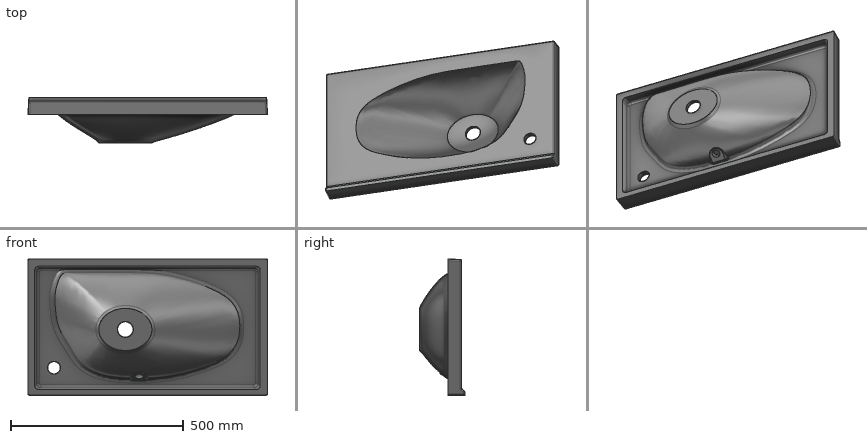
import cadquery as cq
import math


WIDTH = 695.09
LENGTH = 395.8
DECK_TOP = 40.0
DECK_THICKNESS = 16.0
DECK_BOTTOM = DECK_TOP - DECK_THICKNESS
DRAFT = 3.0
CORNER_RADIUS = 5.0
TOP_EDGE_RADIUS = 4.0

MARGIN = 1.0

UPSTAND_HEIGHT = 10.0
UPSTAND_DEPTH = 10.0
UPSTAND_FOOT = 20.0

RIM_LEFT = 19.6
RIM_RIGHT = 21.4
RIM_FRONT = 21.4
RIM_WALL = 16.8
POCKET_CORNER_RADIUS = 12.0
POCKET_FLOOR_RADIUS = 9.0
POCKET_SIDE_TAPER = 7.0
POCKET_END_TAPER = 5.5

BOWL_OUTLINE = [
    (-236, 356), (-150, 356), (-50, 356), (30, 352), (129, 330), (205, 299), (238, 276), (258, 248),
    (267, 202), (255, 145), (225, 112), (183, 91), (92, 63), (0, 51), (-51, 51), (-130, 61),
    (-191, 92), (-230, 146), (-257, 195), (-268, 252), (-269, 289), (-263, 322),
]
BOWL_BOTTOM = -82.0
FLARE_RADIUS = 14.0
FLARE_SHIFT_X = -2.0
FLARE_SHIFT_Z = -2.0
FLARE_STEPS = 3
BOWL_STEPS = 6
BOWL_POWER_X = 1.25
BOWL_POWER_Z = 1.6
WALL = 12.0
FLOOR = 10.0

SEAT_X = -65.0
SEAT_Z = 191.0
SEAT_HALF_X = 77.0
SEAT_HALF_Z = 61.0
SEAT_BEVEL = 8.5
SEAT_BEVEL_HEIGHT = 6.5
SEAT_TILT_X = -0.03
SEAT_TILT_Z = -0.04
DRAIN_DIAMETER = 45.0

TAP_X = -272.0
TAP_Z = 80.0
TAP_DIAMETER = 36.0

OVERFLOW_X = -25.0
OVERFLOW_Y = -10.0
OVERFLOW_Z = 55.0
OVERFLOW_DIAMETER = 23.0
OVERFLOW_TILT = 56.0
OVERFLOW_DRILL = 40.0
PAD_HALF_WIDTH = 20.0
PAD_ARCH_DROP = 5.0
PAD_TAIL = 24.0
PAD_HEIGHT = 12.0
PAD_DRAFT = 40.0


def plane_at(y):
    """XZ plane at height y, with local axes along +X and +Z."""
    return cq.Workplane("XZ", origin=(0, y, 0))


def lofted(wires, ruled=False):
    """Solid through closed wires, straight between them when ruled."""
    return cq.Workplane(cq.Solid.makeLoft(wires, ruled))


def drilled(x, z, diameter):
    """Cylinder along Y through the whole part."""
    top = DECK_TOP + UPSTAND_HEIGHT
    return plane_at(top).center(x, z).circle(diameter / 2).extrude(top - BOWL_BOTTOM)


def within(low, high):
    """Selector for the edges centred between two Y, Z corners, over the whole width."""
    return cq.selectors.BoxSelector((-WIDTH, *low), (WIDTH, *high))


def near(y, z):
    """Selector for the edges centred close to the given Y and Z."""
    return within((y - MARGIN, z - MARGIN), (y + MARGIN, z + MARGIN))


def make_tray():
    """Drafted slab with the upstand and rounded outer edges."""
    top = DECK_TOP + UPSTAND_HEIGHT
    slope = math.tan(math.radians(DRAFT))
    profile = (
        cq.Workplane("YZ", origin=(-WIDTH / 2, 0, 0))
        .polyline([
            (0, 0), (top, 0), (top, UPSTAND_DEPTH), (DECK_TOP, UPSTAND_FOOT),
            (DECK_TOP, LENGTH - DECK_TOP * slope), (0, LENGTH),
        ])
        .close()
        .extrude(WIDTH)
    )
    half = WIDTH / 2
    half_top = half - top * slope
    sides = (
        cq.Workplane("XY")
        .polyline([(-half, 0), (half, 0), (half_top, top), (-half_top, top)])
        .close()
        .extrude(LENGTH)
    )
    tray = profile.intersect(sides)
    front_corners = near(DECK_TOP / 2, LENGTH - DECK_TOP * slope / 2)
    tray = tray.edges(front_corners).fillet(CORNER_RADIUS)

    foot_line = near(DECK_TOP, UPSTAND_FOOT)
    crest_line = near(top, UPSTAND_DEPTH)
    top_edges = within((DECK_TOP - MARGIN, MARGIN), (top + MARGIN, LENGTH)) - foot_line - crest_line
    tray = tray.edges(top_edges).fillet(TOP_EDGE_RADIUS)

    rounded_sides = sides.edges(near(top / 2, 0)).fillet(CORNER_RADIUS)
    return tray.intersect(rounded_sides)


def make_pocket():
    """Tapered recess in the underside, rounded in its corners and round its floor."""
    left = RIM_LEFT - WIDTH / 2
    right = WIDTH / 2 - RIM_RIGHT
    width = right - left
    length = LENGTH - RIM_WALL - RIM_FRONT
    centre_x = (left + right) / 2
    centre_z = RIM_WALL + length / 2

    def section(y, inset_x, inset_z):
        return (
            plane_at(y)
            .center(centre_x, centre_z)
            .rect(width - 2 * inset_x, length - 2 * inset_z)
            .extrude(-MARGIN)
            .edges("|Y")
            .fillet(POCKET_CORNER_RADIUS)
            .faces("<Y")
            .wires()
            .val()
        )

    sections = [section(0, 0, 0), section(DECK_BOTTOM, POCKET_SIDE_TAPER, POCKET_END_TAPER)]
    return lofted(sections, ruled=True).faces(">Y").edges().fillet(POCKET_FLOOR_RADIUS)


def offset_outline(points, distance):
    """Move every point outward, square to the chord between its neighbours."""
    moved = []
    for i, (x, z) in enumerate(points):
        before = points[i - 1]
        after = points[(i + 1) % len(points)]
        dx = after[0] - before[0]
        dz = after[1] - before[1]
        chord = math.hypot(dx, dz)
        moved.append((x - dz / chord * distance, z + dx / chord * distance))
    return moved


def seat_outline(points, half_x, half_z):
    """Points of the seat ellipse lying in the same directions as the outline points."""
    ellipse = []
    for x, z in points:
        angle = math.atan2((z - SEAT_Z) / half_z, (x - SEAT_X) / half_x)
        ellipse.append((SEAT_X + half_x * math.cos(angle), SEAT_Z + half_z * math.sin(angle)))
    return ellipse


def ring(points, y, tilt=0.0):
    """Smooth closed wire through the points at height y, tilted by a share of the seat's tilt."""
    vectors = []
    for x, z in points:
        rise = SEAT_TILT_X * (x - SEAT_X) + SEAT_TILT_Z * (z - SEAT_Z)
        vectors.append(cq.Vector(x, y + tilt * rise, z))
    return cq.Wire.assembleEdges([cq.Edge.makeSpline(vectors, periodic=True)])


def bowl_rings(outline, half_x, half_z, top, bottom, tilt):
    """Rings closing in from the outline to the seat ellipse along a rounded profile.

    The tilt is a share of the seat's tilt, reached at the bottom ring; the top ring is level.
    """
    seat = seat_outline(outline, half_x, half_z)
    rings = []
    for step in range(BOWL_STEPS + 1):
        depth = step / BOWL_STEPS
        weight_x = 1 - depth ** BOWL_POWER_X
        weight_z = 1 - depth ** BOWL_POWER_Z
        points = [
            (sx + (x - sx) * weight_x, sz + (z - sz) * weight_z)
            for (x, z), (sx, sz) in zip(outline, seat)
        ]
        rings.append(ring(points, top + (bottom - top) * depth, tilt * depth ** 2))
    return rings


def make_bowl():
    """Outer bowl: flare under the deck, rounded body and bevelled drain seat."""
    flare = []
    for step in range(FLARE_STEPS + 1):
        angle = math.radians(90 * step / FLARE_STEPS)
        spread = 1 - math.sin(angle)
        y = DECK_BOTTOM - FLARE_RADIUS * (1 - math.cos(angle))
        outline = [
            (x + FLARE_SHIFT_X * spread, z + FLARE_SHIFT_Z * spread)
            for x, z in offset_outline(BOWL_OUTLINE, FLARE_RADIUS * spread)
        ]
        flare.append(ring(outline, y))
    half_x = SEAT_HALF_X + SEAT_BEVEL
    half_z = SEAT_HALF_Z + SEAT_BEVEL
    seat_top = BOWL_BOTTOM + SEAT_BEVEL_HEIGHT
    body_top = DECK_BOTTOM - FLARE_RADIUS
    body = bowl_rings(BOWL_OUTLINE, half_x, half_z, body_top, seat_top, tilt=1.0)
    seat_face = seat_outline(BOWL_OUTLINE, SEAT_HALF_X, SEAT_HALF_Z)
    seat = [body[-1], ring(seat_face, BOWL_BOTTOM)]
    return lofted(flare).union(lofted(body)).union(lofted(seat, ruled=True))


def make_basin():
    """Inside of the bowl, open at the deck top."""
    outline = offset_outline(BOWL_OUTLINE, -WALL)
    floor_top = BOWL_BOTTOM + FLOOR
    return lofted(bowl_rings(outline, SEAT_HALF_X, SEAT_HALF_Z, DECK_TOP, floor_top, tilt=0.0))


def overflow_plane():
    """Plane of the pad face: normal out of the bowl, local Y towards the seat."""
    tilt = math.radians(OVERFLOW_TILT)
    normal = (0, -math.cos(tilt), -math.sin(tilt))
    origin = (OVERFLOW_X, OVERFLOW_Y, OVERFLOW_Z)
    return cq.Workplane(cq.Plane(origin, (1, 0, 0), normal))


def make_overflow_pad():
    """Arched pad that widens into the bowl wall."""
    return (
        overflow_plane()
        .moveTo(-PAD_HALF_WIDTH, -PAD_TAIL)
        .lineTo(PAD_HALF_WIDTH, -PAD_TAIL)
        .lineTo(PAD_HALF_WIDTH, -PAD_ARCH_DROP)
        .threePointArc((0, PAD_HALF_WIDTH - PAD_ARCH_DROP), (-PAD_HALF_WIDTH, -PAD_ARCH_DROP))
        .close()
        .extrude(-PAD_HEIGHT, taper=-PAD_DRAFT)
    )


def make_overflow_hole():
    """Hole square to the pad, through the bowl wall."""
    return overflow_plane().circle(OVERFLOW_DIAMETER / 2).extrude(OVERFLOW_DRILL / 2, both=True)


result = make_tray().cut(make_pocket())
result = result.union(make_bowl()).union(make_overflow_pad())
result = result.cut(make_basin()).cut(make_overflow_hole())
result = result.cut(drilled(SEAT_X, SEAT_Z, DRAIN_DIAMETER))
result = result.cut(drilled(TAP_X, TAP_Z, TAP_DIAMETER))